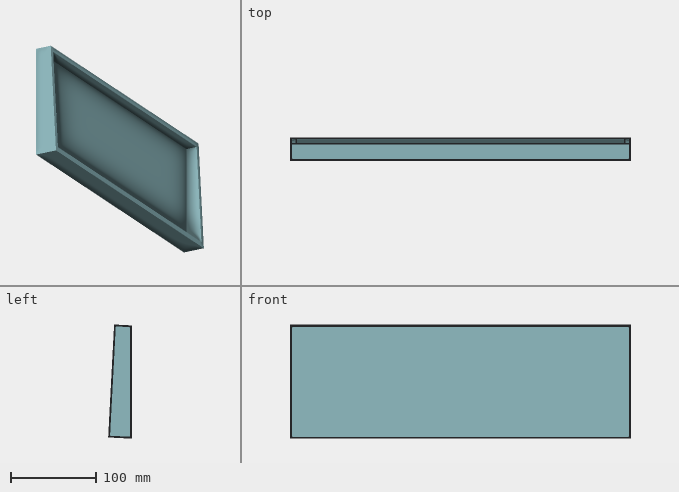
import cadquery as cq
import math

width = 397.5
depth = 26.0
overall_height = 132.0
board = 6.0
lean_angle = 3.0

lean = math.radians(lean_angle)
rear_length = (overall_height - depth * math.tan(lean)) / math.cos(lean)
top_depth = depth - rear_length * math.sin(lean)
front_height = overall_height - top_depth * math.tan(lean)
board_rise = board / math.cos(lean)


def rectangle_corners(half_width, lower, upper):
    """Corners, counter-clockwise from lower left, from (y, z) of the lower and upper edges."""
    return [
        cq.Vector(-half_width, *lower),
        cq.Vector(half_width, *lower),
        cq.Vector(half_width, *upper),
        cq.Vector(-half_width, *upper),
    ]


def tilted_point(y, front_z):
    """Point at depth y on a line that rises rearward from front_z."""
    return y, front_z + y * math.tan(lean)


def block_between(start, end):
    """Six-sided solid joining two matching four-cornered faces."""
    loops = [start, end]
    for i in range(4):
        j = (i + 1) % 4
        loops.append([start[i], start[j], end[j], end[i]])
    faces = [cq.Face.makeFromWires(cq.Wire.makePolygon(loop, close=True)) for loop in loops]
    return cq.Solid.makeSolid(cq.Shell.makeShell(faces)).fix()


inner_bottom = board_rise
inner_top = front_height - board_rise
inner_lower_depth = depth - board * math.sin(lean)
inner_upper_depth = top_depth + board * math.sin(lean)
half_outer = width / 2
half_inner = half_outer - board

outer_front = rectangle_corners(half_outer, (0, 0), (0, front_height))
outer_rear = rectangle_corners(
    half_outer, tilted_point(depth, 0), tilted_point(top_depth, front_height))
inner_front = rectangle_corners(
    half_inner, tilted_point(board, inner_bottom), tilted_point(board, inner_top))
inner_rear = rectangle_corners(
    half_inner, tilted_point(inner_lower_depth, inner_bottom),
    tilted_point(inner_upper_depth, inner_top))


def rim_board(first, second):
    """Board along the outside edge between two corners, mitred at both ends and the front."""
    outside = [outer_front[first], outer_front[second], outer_rear[second], outer_rear[first]]
    inside = [inner_front[first], inner_front[second], inner_rear[second], inner_rear[first]]
    return block_between(outside, inside)


lower_left, lower_right, upper_right, upper_left = range(4)

front_panel = block_between(outer_front, inner_front)
bottom_board = rim_board(lower_left, lower_right)
top_board = rim_board(upper_right, upper_left)
side_boards = [
    rim_board(first, second)
    for first, second in [(lower_right, upper_right), (upper_left, lower_left)]
]

result = cq.Compound.makeCompound([front_panel, bottom_board, top_board, *side_boards])